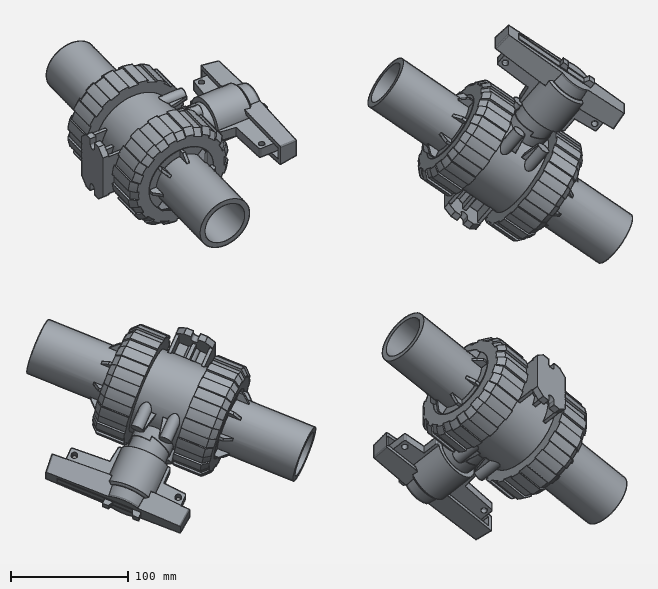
import cadquery as cq
import math

total_length = 247.0
pipe_diameter = 50.0
bore_diameter = 40.0

body_diameter = 76.3

nut_inner_x = 22.7
nut_outer_x = 53.8
nut_bevel = 5.5
ridge_diameter = 101.0
ridge_radius = ridge_diameter / 2
ridge_height = 2.0
ridge_count = 16
ridge_pitch = 360 / ridge_count
ridge_angle = ridge_pitch / 2
recess_diameter = 65.0
recess_depth = 0.5

rib_count = 8
rib_thickness = 2.7
rib_radius = 31.9
rib_tip_x = 64.7

foot_bottom_y = -56.0
foot_thickness = 6.0
foot_width = 34.0
foot_height = 57.8
foot_chamfer = 7.2
foot_slot_width = 6.5
foot_slot_depth = 9.5
foot_wall = 3.0
foot_wall_height = 41.0
foot_boss_diameter = 11.4
foot_rib_height = 28.7
foot_rib_thickness = 3.5
foot_web_thickness = 3.5

neck_diameter = 35.0
cam_radius = 18.3
cam_high_y = 46.5
cam_mid_y = 44.2
cam_low_y = 42.0

post_diameter = 11.4
post_x = 13.0
post_z = 27.0
post_top_y = 43.7
gusset_bottom_y = 25.7
gusset_bottom_x = 3.2
gusset_top_x = 7.2
gusset_z = 28.7
gusset_thickness = 3.5

hub_radius = 22.0
hub_bottom_y = 57.5
hub_shoulder_y = 92.0
hub_bevel = 2.0
crown_base_radius = 19.0
crown_rim_radius = 17.8
crown_rim_y = 103.2
crown_top_radius = 17.5
crown_top_y = 104.5

grip_left_x = -54.8
grip_right_x = 73.4
grip_hub_y = 86.2
grip_end_y = 87.7
grip_top_y = crown_top_y
grip_end_half_width = 10.4
grip_hub_half_width = 13.5
grip_draft = 5.0
grip_side_wall = 4.2
grip_left_wall = 2.0
grip_right_wall = 4.0
grip_roof = 2.2
grip_fillet = 1.0

fin_thickness = 9.6
fin_left_x = -45.7
fin_right_x = 61.0
fin_crest_left_x = -9.1
fin_crest_y = 105.2
fin_fillet = 1.5
fin_end_y = 74.3
fin_hub_y = 72.5
fin_skirt_left_x = -24.2
fin_skirt_right_x = 26.0
fin_skirt_draft = 2.0
fin_hole_diameter = 5.5
fin_hole_inset = 5.2
fin_hole_y = 79.5

stop_outer_x = 16.8
stop_width = 7.7
stop_bevel = 2.2
stop_top_y = 110.0
stop_thickness = 8.5


def cylinder_x(radius, x_start, x_end):
    return cq.Workplane("YZ").workplane(offset=x_start).circle(radius).extrude(x_end - x_start)


def cylinder_y(radius, y_start, y_end, x=0.0, z=0.0):
    plane = cq.Workplane("XZ").workplane(offset=-y_start)
    return plane.center(x, z).circle(radius).extrude(y_start - y_end)


def block(x_span, y_span, z_span):
    size = [span[1] - span[0] for span in (x_span, y_span, z_span)]
    return cq.Workplane("XY").box(*size, centered=False).translate((x_span[0], y_span[0], z_span[0]))


def plate_xy(points, thickness, z_middle=0.0):
    plane = cq.Workplane("XY").workplane(offset=z_middle - thickness / 2)
    return plane.polyline(points).close().extrude(thickness)


def nut_blank(radius):
    blank = cylinder_x(radius, nut_inner_x, nut_outer_x)
    return blank.faces(">X").chamfer(nut_bevel)


def make_nut():
    core = nut_blank(ridge_radius - ridge_height)
    ridged = nut_blank(ridge_radius)
    reach = 2 * ridge_radius
    half_chord = reach * math.tan(math.radians(ridge_angle / 2))
    sector = (
        cq.Workplane("YZ")
        .polyline([(0, 0), (reach, -half_chord), (reach, half_chord)])
        .close()
        .extrude(nut_outer_x)
    )
    nut = core
    for index in range(ridge_count):
        turned = sector.rotate((0, 0, 0), (1, 0, 0), (index + 0.5) * ridge_pitch)
        nut = nut.union(ridged.intersect(turned))
    return nut.cut(cylinder_x(recess_diameter / 2, nut_outer_x - recess_depth, nut_outer_x))


def make_end_ribs():
    slope = rib_radius - pipe_diameter / 2
    inner_radius = (pipe_diameter + bore_diameter) / 4
    inner_x = nut_outer_x - nut_bevel
    rib = plate_xy(
        [
            (inner_x, inner_radius),
            (rib_tip_x, inner_radius),
            (rib_tip_x, pipe_diameter / 2),
            (rib_tip_x - slope, rib_radius),
            (inner_x, rib_radius),
        ],
        rib_thickness,
    )
    ribs = rib
    for index in range(1, rib_count):
        ribs = ribs.union(rib.rotate((0, 0, 0), (1, 0, 0), index * 360 / rib_count))
    return ribs


def make_foot():
    plate_top_y = foot_bottom_y + foot_thickness
    half_width = foot_width / 2
    half_height = foot_height / 2
    plate = block(
        (-half_width, half_width), (foot_bottom_y, plate_top_y), (-half_height, half_height)
    ).edges("|Y").chamfer(foot_chamfer)

    slot_radius = foot_slot_width / 2
    slot_round_z = half_height - foot_slot_depth + slot_radius
    y_span = (plate_top_y - foot_thickness / 2, 0)
    half_wall_height = foot_wall_height / 2
    foot = plate
    for side in (-1, 1):
        foot = foot.cut(
            cylinder_y(slot_radius, foot_bottom_y, plate_top_y, z=side * slot_round_z)
        )
        mouth_z = sorted((side * slot_round_z, side * half_height))
        foot = foot.cut(block((-slot_radius, slot_radius), (foot_bottom_y, plate_top_y), mouth_z))
        wall_x = sorted((side * half_width, side * (half_width - foot_wall)))
        foot = foot.union(block(wall_x, y_span, (-half_wall_height, half_wall_height)))

    half_rib = foot_rib_thickness / 2
    half_web = foot_web_thickness / 2
    rib = block((-half_rib, half_rib), y_span, (-foot_rib_height / 2, foot_rib_height / 2))
    web = block((-half_width, half_width), y_span, (-half_web, half_web))
    return foot.union(rib).union(web).union(cylinder_y(foot_boss_diameter / 2, *y_span))


def make_neck():
    neck = cylinder_y(neck_diameter / 2, 0, hub_shoulder_y)
    cam_outline = plate_xy(
        [
            (-cam_radius, 0),
            (cam_radius, 0),
            (cam_radius, cam_mid_y),
            (0, cam_high_y),
            (0, cam_low_y),
            (-cam_radius, cam_high_y),
        ],
        2 * cam_radius,
    )
    return neck.union(cylinder_y(cam_radius, 0, cam_high_y).intersect(cam_outline))


def make_posts():
    gusset = plate_xy(
        [
            (post_x, gusset_bottom_y),
            (gusset_bottom_x, gusset_bottom_y),
            (gusset_top_x, post_top_y),
            (post_x, post_top_y),
        ],
        gusset_thickness,
        gusset_z - gusset_thickness / 2,
    )
    post = cylinder_y(post_diameter / 2, 0, post_top_y, post_x, post_z).union(gusset)
    pair = post.union(post.mirror("YZ"))
    return pair.union(pair.mirror("XY"))


def make_hub():
    shoulder_top_y = hub_shoulder_y + hub_bevel
    return (
        cq.Workplane("XY")
        .polyline(
            [
                (0, hub_bottom_y),
                (hub_radius, hub_bottom_y),
                (hub_radius, hub_shoulder_y),
                (hub_radius - hub_bevel, shoulder_top_y),
                (crown_base_radius, shoulder_top_y),
                (crown_rim_radius, crown_rim_y),
                (crown_top_radius, crown_top_y),
                (0, crown_top_y),
            ]
        )
        .close()
        .revolve(360, (0, 0, 0), (0, 1, 0))
    )


def grip_block(left_wall=0.0, right_wall=0.0, side_wall=0.0, roof=0.0):
    left_x = grip_left_x + left_wall
    right_x = grip_right_x - right_wall
    end_half = grip_end_half_width - side_wall
    hub_half = grip_hub_half_width - side_wall
    height = grip_top_y - grip_hub_y - roof
    return (
        cq.Workplane("XZ", origin=(0, grip_hub_y, 0))
        .polyline(
            [
                (left_x, -end_half),
                (0, -hub_half),
                (right_x, -end_half),
                (right_x, end_half),
                (0, hub_half),
                (left_x, end_half),
            ]
        )
        .close()
        .extrude(-height, taper=grip_draft)
    )


def make_grip():
    shell = grip_block().faces("<X or >X").edges("not (<Y or >Y)").fillet(grip_fillet)
    grip = shell.cut(grip_block(grip_left_wall, grip_right_wall, grip_side_wall, grip_roof))
    for start_x, end_x in ((-hub_radius, grip_left_x), (hub_radius, grip_right_x)):
        rim_wedge = plate_xy(
            [(start_x, grip_hub_y), (end_x, grip_hub_y), (end_x, grip_end_y)],
            3 * grip_hub_half_width,
        )
        grip = grip.cut(rim_wedge)
    return grip


def make_fin():
    buried_y = grip_top_y - grip_roof / 2
    skirt_corner_x = fin_skirt_right_x - fin_skirt_draft
    fin = plate_xy(
        [
            (fin_left_x, buried_y),
            (fin_left_x, fin_end_y),
            (fin_skirt_left_x, fin_hub_y),
            (fin_skirt_left_x, hub_bottom_y),
            (skirt_corner_x, hub_bottom_y),
            (fin_skirt_right_x, fin_hub_y),
            (fin_right_x, fin_end_y),
            (fin_right_x, fin_crest_y),
            (fin_crest_left_x, fin_crest_y),
            (fin_crest_left_x, buried_y),
        ],
        fin_thickness,
    )
    for corner in (
        (fin_left_x, fin_end_y),
        (fin_right_x, fin_end_y),
        (fin_skirt_left_x, hub_bottom_y),
        (skirt_corner_x, hub_bottom_y),
    ):
        fin = fin.edges(cq.selectors.NearestToPointSelector((*corner, 0))).fillet(fin_fillet)
    return fin


def make_fin_holes():
    return (
        cq.Workplane("XY")
        .pushPoints(
            [(fin_left_x + fin_hole_inset, fin_hole_y), (fin_right_x - fin_hole_inset, fin_hole_y)]
        )
        .circle(fin_hole_diameter / 2)
        .extrude(fin_thickness, both=True)
    )


def make_stops():
    inner_x = stop_outer_x - stop_width
    stop = plate_xy(
        [
            (stop_outer_x, hub_shoulder_y),
            (stop_outer_x, stop_top_y),
            (inner_x + stop_bevel, stop_top_y),
            (inner_x, stop_top_y - 2 * stop_bevel),
            (inner_x, hub_shoulder_y),
        ],
        stop_thickness,
    )
    return stop.union(stop.mirror("YZ"))


nut_end = make_nut().union(make_end_ribs())
result = (
    cylinder_x(pipe_diameter / 2, -total_length / 2, total_length / 2)
    .union(cylinder_x(body_diameter / 2, -nut_inner_x, nut_inner_x))
    .union(nut_end)
    .union(nut_end.mirror("YZ"))
    .union(make_foot())
    .union(make_neck())
    .union(make_posts())
    .union(make_grip())
    .union(make_fin())
    .union(make_hub())
    .union(make_stops())
    .cut(make_fin_holes())
    .cut(cylinder_x(bore_diameter / 2, -total_length / 2, total_length / 2))
)